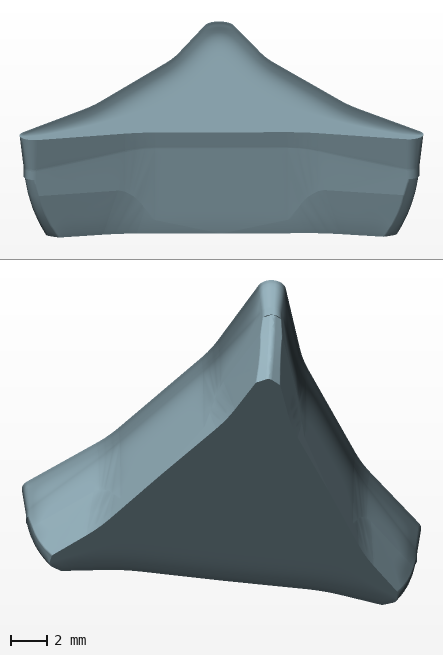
import cadquery as cq
import math

SIDES = 3
SIDE_ANGLE = 360 / SIDES
HALF_SECTOR = math.radians(SIDE_ANGLE / 2)
HEIGHT = 6.0

TIP_DISTANCE = 11.96
TOP_TIP_RADIUS = 0.8
TOP_FLAT_DISTANCE = 5.55
BEND_OFFSET = 4.5
BEND_TANGENT = 0.85

BAND_SLOPE = 0.12
WALL_TIP_RADIUS = 0.58
WALL_FLAT_DISTANCE = 5.38
WALL_FLAT_LEAN = 0.013
BAND_BLEND_RADIUS = 0.78

RELIEF_HEIGHT = 2.63
RELIEF_TOP_BEND_OFFSET = 4.8
RELIEF_FOOT_BEND_OFFSET = 5.62
RELIEF_FOOT_ARM_SLOPE = 0.19
RELIEF_BEND_TANGENT = 0.94
RELIEF_BOW = 0.008

NOSE_HEIGHT = 3.6
NOSE_FACE_ANGLE = 34
NOSE_TOP_REACH = 12.59
NOSE_MIDDLE_REACH = 12.12
NOSE_FOOT_REACH = 11.23
NOSE_RIDGE_RADIUS = 0.33
NOSE_EDGE_RADIUS = 0.13

MARGIN = 2.23
SELECT_GAP = 0.02


def to_side(point, side):
    """Turn (distance from axis, offset along side) into X, Y on the given side."""
    distance, offset = point
    angle = math.pi - side * math.radians(SIDE_ANGLE)
    x = distance * math.cos(angle) + offset * math.sin(angle)
    y = distance * math.sin(angle) - offset * math.cos(angle)
    return x, y


def mirrored(point):
    return point[0], -point[1]


def along(start, angle, length):
    """Step from a point in a direction measured from the side toward the outside."""
    return start[0] + length * math.sin(angle), start[1] + length * math.cos(angle)


def bend_points(bend, flat_angle, arm_angle, tangent):
    """Start, middle and end of the arc that rounds a bend."""
    start = along(bend, flat_angle, -tangent)
    end = along(bend, arm_angle, tangent)
    half_turn = (arm_angle - flat_angle) / 2
    bisector = (arm_angle + flat_angle) / 2
    radius = tangent / math.tan(half_turn)
    bend_to_arc = radius / math.cos(half_turn) - radius
    middle = (
        bend[0] + bend_to_arc * math.cos(bisector),
        bend[1] - bend_to_arc * math.sin(bisector),
    )
    return start, middle, end


def tip_arm_angle(flat_distance, tip_radius):
    """Lean of the arm line that leaves the bend and touches the tip circle."""
    across = TIP_DISTANCE * math.cos(HALF_SECTOR) - flat_distance
    forward = TIP_DISTANCE * math.sin(HALF_SECTOR) - BEND_OFFSET
    return math.atan2(across, forward) + math.asin(tip_radius / math.hypot(across, forward))


def tip_outline(height, flat_distance, tip_radius):
    """Outline with straight flats, rounded bends and rounded tips."""
    arm_angle = tip_arm_angle(flat_distance, tip_radius)
    start, middle, end = bend_points((flat_distance, BEND_OFFSET), 0, arm_angle, BEND_TANGENT)
    tip_centre = (TIP_DISTANCE * math.cos(HALF_SECTOR), TIP_DISTANCE * math.sin(HALF_SECTOR))
    touch = (
        tip_centre[0] + tip_radius * math.cos(arm_angle),
        tip_centre[1] - tip_radius * math.sin(arm_angle),
    )
    reach = TIP_DISTANCE + tip_radius
    tip = (reach * math.cos(HALF_SECTOR), reach * math.sin(HALF_SECTOR))
    outline = cq.Workplane("XY", origin=(0, 0, height)).moveTo(*to_side(mirrored(touch), 0))
    for side in range(SIDES):
        outline = (
            outline.lineTo(*to_side(mirrored(end), side))
            .threePointArc(to_side(mirrored(middle), side), to_side(mirrored(start), side))
            .lineTo(*to_side(start, side))
            .threePointArc(to_side(middle, side), to_side(end, side))
            .lineTo(*to_side(touch, side))
            .threePointArc(to_side(tip, side), to_side(mirrored(touch), side + 1))
        )
    return outline.wire().val()


def relief_outline(height, bend, arm_angle):
    """Outline with bowed flats, rounded bends and sharp arm ends."""
    flat_angle = -math.atan(RELIEF_BOW)
    start, middle, end = bend_points(bend, flat_angle, arm_angle, RELIEF_BEND_TANGENT)
    crown = (bend[0] + RELIEF_BOW * bend[1], 0)
    axis_slope = 1 / math.tan(HALF_SECTOR)
    arm_slope = math.tan(arm_angle)
    corner_offset = (bend[0] - arm_slope * bend[1]) / (axis_slope - arm_slope)
    corner = (axis_slope * corner_offset, corner_offset)
    outline = cq.Workplane("XY", origin=(0, 0, height)).moveTo(*to_side(mirrored(corner), 0))
    for side in range(SIDES):
        outline = (
            outline.lineTo(*to_side(mirrored(end), side))
            .threePointArc(to_side(mirrored(middle), side), to_side(mirrored(start), side))
            .lineTo(*to_side(crown, side))
            .lineTo(*to_side(start, side))
            .threePointArc(to_side(middle, side), to_side(end, side))
            .lineTo(*to_side(corner, side))
        )
    return outline.wire().val()


def wall_flat_distance(height):
    return WALL_FLAT_DISTANCE + WALL_FLAT_LEAN * height


def make_body():
    """Leaning band over a steep wall; the wall stands proud where the band ends."""
    foot_inset = BAND_SLOPE * HEIGHT
    band = cq.Solid.makeLoft(
        [
            tip_outline(0, TOP_FLAT_DISTANCE - foot_inset, TOP_TIP_RADIUS - foot_inset),
            tip_outline(HEIGHT, TOP_FLAT_DISTANCE, TOP_TIP_RADIUS),
        ],
        True,
    )
    wall = cq.Solid.makeLoft(
        [
            tip_outline(height, wall_flat_distance(height), WALL_TIP_RADIUS)
            for height in (0, HEIGHT)
        ],
        True,
    )
    body = cq.Workplane(band).union(cq.Workplane(wall))
    reach = TIP_DISTANCE + TOP_TIP_RADIUS
    lower_corner = (-reach, -reach, NOSE_HEIGHT)
    upper_corner = (reach, reach, HEIGHT - SELECT_GAP)
    seam = cq.selectors.BoxSelector(lower_corner, upper_corner, boundingbox=True)
    return body.edges(seam).fillet(BAND_BLEND_RADIUS)


def slab(height):
    size = 2 * (TIP_DISTANCE + TOP_TIP_RADIUS + MARGIN)
    return cq.Workplane("XY").rect(size, size).extrude(height)


def make_side_relief():
    """Everything outside the relief facets, up to the height where they start."""
    flat_distance = wall_flat_distance(RELIEF_HEIGHT)
    arm_angle = tip_arm_angle(flat_distance, WALL_TIP_RADIUS)
    shift = RELIEF_TOP_BEND_OFFSET - BEND_OFFSET
    top_bend = (flat_distance + shift * math.tan(arm_angle), RELIEF_TOP_BEND_OFFSET)
    foot_fall = RELIEF_BOW * RELIEF_FOOT_BEND_OFFSET
    foot_bend = (WALL_FLAT_DISTANCE - foot_fall, RELIEF_FOOT_BEND_OFFSET)
    core = cq.Solid.makeLoft(
        [
            relief_outline(0, foot_bend, math.atan(RELIEF_FOOT_ARM_SLOPE)),
            relief_outline(RELIEF_HEIGHT, top_bend, arm_angle),
        ],
        True,
    )
    return slab(RELIEF_HEIGHT).cut(cq.Workplane(core))


def make_nose_face(turn):
    """Block bounded on its outside by one curved nose face."""
    lean = math.cos(math.radians(NOSE_FACE_ANGLE))
    width = 2 * TIP_DISTANCE
    return (
        cq.Workplane("XZ", origin=(0, width / 2, 0))
        .lineTo(NOSE_FOOT_REACH * lean, 0)
        .threePointArc(
            (NOSE_MIDDLE_REACH * lean, NOSE_HEIGHT / 2),
            (NOSE_TOP_REACH * lean, NOSE_HEIGHT),
        )
        .lineTo(0, NOSE_HEIGHT)
        .close()
        .extrude(width)
        .rotate((0, 0, 0), (0, 0, 1), turn)
    )


def make_nose_relief():
    """Everything in front of the two nose faces of the tip on the X axis."""
    nose = make_nose_face(NOSE_FACE_ANGLE).intersect(make_nose_face(-NOSE_FACE_ANGLE))
    ridge_middle = (NOSE_MIDDLE_REACH, 0, NOSE_HEIGHT / 2)
    nose = nose.edges(cq.selectors.NearestToPointSelector(ridge_middle)).fillet(NOSE_RIDGE_RADIUS)
    reach = TIP_DISTANCE + TOP_TIP_RADIUS + MARGIN
    front = TIP_DISTANCE / 2
    block = cq.Workplane("XY").center((front + reach) / 2, 0).rect(reach - front, front)
    return block.extrude(NOSE_HEIGHT).cut(nose)


def round_nose_edges(body):
    """Round the edges where the nose faces of the tip on the X axis meet its arms."""
    near = TIP_DISTANCE - TOP_TIP_RADIUS
    far = TIP_DISTANCE + TOP_TIP_RADIUS
    ridge_side = NOSE_RIDGE_RADIUS
    arm_side = TOP_TIP_RADIUS
    low = SELECT_GAP
    high = NOSE_HEIGHT - SELECT_GAP
    left = cq.selectors.BoxSelector((near, ridge_side, low), (far, arm_side, high))
    right = cq.selectors.BoxSelector((near, -arm_side, low), (far, -ridge_side, high))
    return body.edges(left + right).fillet(NOSE_EDGE_RADIUS)


result = make_body().cut(make_side_relief())
nose_relief = make_nose_relief()
for tip in range(SIDES):
    result = round_nose_edges(result.cut(nose_relief)).rotate((0, 0, 0), (0, 0, 1), SIDE_ANGLE)